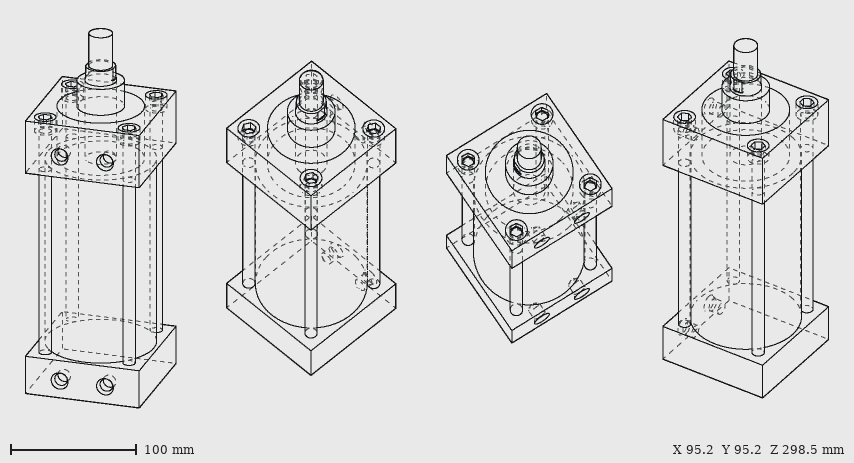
import cadquery as cq
import math

TOTAL_HEIGHT = 298.5
CAP_SIDE = 95.2

BASE_HEIGHT = 32.2
HEAD_HEIGHT = 45.0
HEAD_TOP = 235.5
HEAD_BOTTOM = HEAD_TOP - HEAD_HEIGHT
BARREL_DIAMETER = 89.0

TIE_SPACING = 70.0
TIE_DIAMETER = 9.8
SCREW_HEAD_DIAMETER = 17.3
SCREW_HEAD_HEIGHT = 12.0
SOCKET_FLATS = 9.8
SOCKET_DEPTH = 7.2
SOCKET_POINT_DIAMETER = 8.7
TIE_PLACES = [
    (x_side * TIE_SPACING / 2, y_side * TIE_SPACING / 2)
    for x_side in (-1, 1)
    for y_side in (-1, 1)
]

PORT_SPACING = 38.0
PORT_MOUTH_DIAMETER = 14.0
PORT_DIAMETER = 10.5
PORT_MOUTH_DEPTH = 3.5
PORT_DEPTH = 12.0
BASE_PORT_HEIGHT = 14.5
HEAD_PORT_HEIGHT = 208.3

GLAND_DIAMETER = 69.8
BOSS_DIAMETER = 38.0
BOSS_HEIGHT = 22.5
BOSS_TOP = HEAD_TOP + BOSS_HEIGHT

ROD_DIAMETER = 25.5
ROD_STANDOUT = 1.0
TAPER_HEIGHT = 2.5
NECK_DIAMETER = 24.0
ROD_FLATS = 22.7
FLATS_OVERRUN = 1.0
ROD_END_DIAMETER = 19.0
ROD_END_LENGTH = 28.0
TAPER_BOTTOM = BOSS_TOP + ROD_STANDOUT
NECK_BOTTOM = TAPER_BOTTOM + TAPER_HEIGHT
SHOULDER_HEIGHT = TOTAL_HEIGHT - ROD_END_LENGTH

DRILL_HALF_ANGLE = math.radians(59)


def block(bottom, height):
    """Square cap block centred on the cylinder axis."""
    return cq.Workplane("XY", origin=(0, 0, bottom)).rect(CAP_SIDE, CAP_SIDE).extrude(height)


def cylinder(diameter, bottom, top, place=(0, 0)):
    """Upright cylinder between two heights."""
    x, y = place
    return cq.Workplane("XY", origin=(x, y, bottom)).circle(diameter / 2).extrude(top - bottom)


def cone(diameter, start, direction, tip_diameter=0.0, length=None):
    """Cone that narrows along a direction; with no length it is a drill point."""
    if length is None:
        length = diameter / 2 / math.tan(DRILL_HALF_ANGLE)
    return cq.Solid.makeCone(
        diameter / 2, tip_diameter / 2, length, cq.Vector(*start), cq.Vector(*direction)
    )


def cut_ports(body, height):
    """Cut the pair of ports into the -Y face at one height."""
    face_y = -CAP_SIDE / 2
    inward = (0, 1, 0)
    for side in (-1, 1):
        x = side * PORT_SPACING / 2
        mouth = cone(PORT_MOUTH_DIAMETER, (x, face_y, height), inward, PORT_DIAMETER, PORT_MOUTH_DEPTH)
        bore = cq.Solid.makeCylinder(
            PORT_DIAMETER / 2, PORT_DEPTH, cq.Vector(x, face_y, height), cq.Vector(*inward)
        )
        point = cone(PORT_DIAMETER, (x, face_y + PORT_DEPTH, height), inward)
        body = body.cut(mouth).cut(bore).cut(point)
    return body


def screw_shape(place):
    """Tie screw outline, which is also the shape of its hole in the head."""
    shank = cylinder(TIE_DIAMETER, BASE_HEIGHT, HEAD_TOP, place)
    screw_head = cylinder(SCREW_HEAD_DIAMETER, HEAD_TOP - SCREW_HEAD_HEIGHT, HEAD_TOP, place)
    return shank.union(screw_head)


def screw_socket(place):
    """Hexagon socket with a conical bottom; two of its corners point along X."""
    x, y = place
    across_corners = SOCKET_FLATS / math.cos(math.pi / 6)
    floor = HEAD_TOP - SOCKET_DEPTH
    hexagon = cq.Workplane("XY", origin=(x, y, floor)).polygon(6, across_corners).extrude(SOCKET_DEPTH)
    return hexagon.union(cone(SOCKET_POINT_DIAMETER, (x, y, floor), (0, 0, -1)))


def make_barrel():
    """Base block with the cylinder and the tie screws standing on it."""
    body = block(0, BASE_HEIGHT).union(cylinder(BARREL_DIAMETER, BASE_HEIGHT, HEAD_BOTTOM))
    for place in TIE_PLACES:
        body = body.union(screw_shape(place)).cut(screw_socket(place))
    return cut_ports(body, BASE_PORT_HEIGHT)


def make_head():
    """Head block bored for the gland and counterbored for the tie screws."""
    body = block(HEAD_BOTTOM, HEAD_HEIGHT).cut(cylinder(GLAND_DIAMETER, HEAD_BOTTOM, HEAD_TOP))
    for place in TIE_PLACES:
        body = body.cut(screw_shape(place))
    return cut_ports(body, HEAD_PORT_HEIGHT)


def make_gland():
    """Gland that fills the head bore and guides the rod."""
    plug = cylinder(GLAND_DIAMETER, HEAD_BOTTOM, HEAD_TOP)
    boss = cylinder(BOSS_DIAMETER, HEAD_TOP, BOSS_TOP)
    return plug.union(boss).cut(cylinder(ROD_DIAMETER, HEAD_BOTTOM, BOSS_TOP))


def cut_wrench_flats(body):
    """Cut the two flats that face -X and +X, leaving a small step at their lower end."""
    bottom = NECK_BOTTOM - FLATS_OVERRUN
    sides = cq.Workplane("XY", origin=(0, 0, bottom)).rect(CAP_SIDE, CAP_SIDE).rect(ROD_FLATS, ROD_DIAMETER)
    return body.cut(sides.extrude(SHOULDER_HEIGHT - bottom))


def make_rod():
    """Rod that stands on the barrel and slides through the gland."""
    shaft = cylinder(ROD_DIAMETER, HEAD_BOTTOM, TAPER_BOTTOM)
    taper = cone(ROD_DIAMETER, (0, 0, TAPER_BOTTOM), (0, 0, 1), NECK_DIAMETER, TAPER_HEIGHT)
    neck = cylinder(NECK_DIAMETER, NECK_BOTTOM, SHOULDER_HEIGHT)
    rod_end = cylinder(ROD_END_DIAMETER, SHOULDER_HEIGHT, TOTAL_HEIGHT)
    return cut_wrench_flats(shaft.union(taper).union(neck)).union(rod_end)


barrel = make_barrel()
head = make_head()
gland = make_gland()
rod = make_rod()

result = cq.Compound.makeCompound([barrel.val(), head.val(), gland.val(), rod.val()])